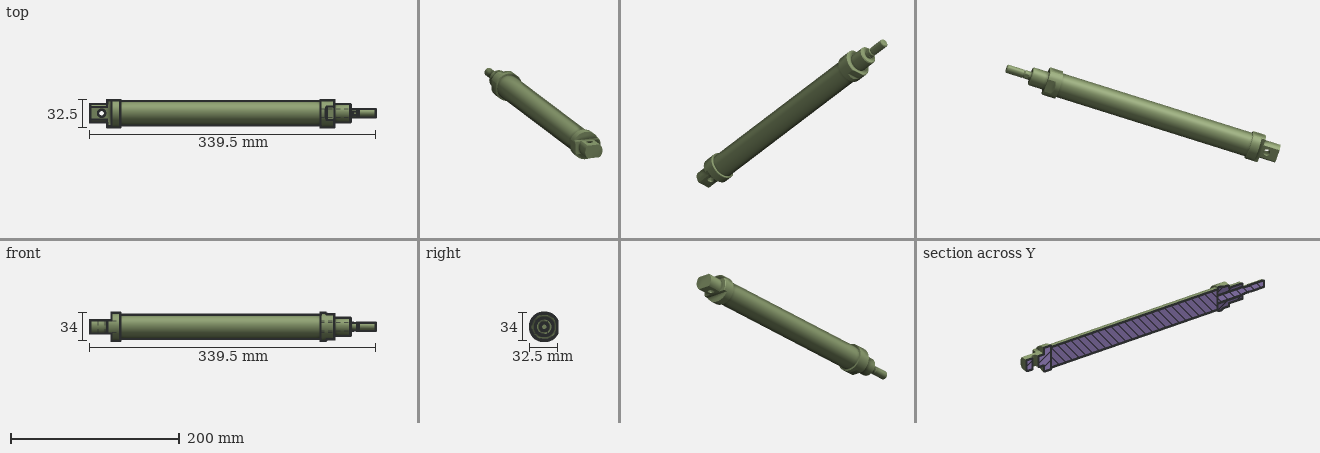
import cadquery as cq

FLANGE_FACE = 20.0
REAR_DISC_FACE = 25.0
TUBE_START = 36.0
TUBE_END = 273.5
FRONT_FLAT_START = 279.0
NOSE_START = 290.0
NOSE_END = 309.3
WRENCH_FLAT_START = 312.0
GROOVE_START = 316.5
ROD_END = 339.5

CAP_RADIUS = 17.0
CAP_SIDE_FLAT = 15.5
CAP_EDGE_CHAMFER = 0.7
NECK_DIAMETER = 22.0
NOSE_CHAMFER = 1.0
FRONT_FLAT_HEIGHT = 15.0
TONGUE_THICKNESS = 16.0
PIN_HOLE_DIAMETER = 8.0
PIN_HOLE_X = 13.5

TUBE_DIAMETER = 29.2

ROD_RADIUS = 5.0
WRENCH_FLAT_WIDTH = 9.0
GROOVE_WIDTH = 2.5
GROOVE_DEPTH = 1.0
ROD_TIP_CHAMFER = 1.0


def cylinder_along_x(start, end, radius):
    """Solid cylinder on the X axis between two stations."""
    return cq.Workplane("YZ", origin=(start, 0, 0)).circle(radius).extrude(end - start)


def slab(start, end, y_low, y_high, z_low, z_high):
    """Rectangular block given by its limits along X, Y and Z."""
    size = (end - start, y_high - y_low, z_high - z_low)
    return cq.Workplane("XY").box(*size, centered=False).translate((start, y_low, z_low))


def collar(start, end, chamfered_ends):
    """Disc of an end cap, with the flat on its +Y side and the selected end faces chamfered."""
    disc = cylinder_along_x(start, end, CAP_RADIUS).faces(chamfered_ends).chamfer(CAP_EDGE_CHAMFER)
    return disc.intersect(slab(start, end, -CAP_RADIUS, CAP_SIDE_FLAT, -CAP_RADIUS, CAP_RADIUS))


def make_rear_cap():
    """Collar with a flat tongue that carries the cross pin hole."""
    tongue = cylinder_along_x(0, REAR_DISC_FACE, NECK_DIAMETER / 2)
    cap = collar(FLANGE_FACE, TUBE_START, "|X").union(tongue)
    half_thickness = TONGUE_THICKNESS / 2
    for z_low, z_high in ((half_thickness, CAP_RADIUS), (-CAP_RADIUS, -half_thickness)):
        cap = cap.cut(slab(0, REAR_DISC_FACE, -CAP_RADIUS, CAP_RADIUS, z_low, z_high))
    pin_hole = (
        cq.Workplane("XY", origin=(PIN_HOLE_X, 0, -half_thickness))
        .circle(PIN_HOLE_DIAMETER / 2)
        .extrude(TONGUE_THICKNESS)
    )
    return cap.cut(pin_hole)


def make_tube():
    """Plain barrel between the two end caps."""
    return cylinder_along_x(TUBE_START, TUBE_END, TUBE_DIAMETER / 2)


def make_front_cap():
    """Collar with two flats that run out in 45 degree ramps, and a nose bored for the rod."""
    nose = cylinder_along_x(NOSE_START, NOSE_END, NECK_DIAMETER / 2).faces(">X").chamfer(NOSE_CHAMFER)
    cap = collar(TUBE_END, NOSE_START, ">X").union(nose)
    drop = CAP_RADIUS - FRONT_FLAT_HEIGHT
    flat_cut = (
        cq.Workplane("XZ")
        .moveTo(FRONT_FLAT_START, CAP_RADIUS)
        .lineTo(FRONT_FLAT_START + drop, FRONT_FLAT_HEIGHT)
        .lineTo(NOSE_START, FRONT_FLAT_HEIGHT)
        .lineTo(NOSE_START, CAP_RADIUS)
        .close()
        .extrude(CAP_RADIUS, both=True)
    )
    cap = cap.cut(flat_cut).cut(flat_cut.mirror("XY"))
    return cap.cut(cylinder_along_x(TUBE_END, NOSE_END, ROD_RADIUS))


def make_piston_rod():
    """Rod with two wrench flats, a V groove and a chamfered tip."""
    rod = cylinder_along_x(TUBE_END, ROD_END, ROD_RADIUS).faces(">X").chamfer(ROD_TIP_CHAMFER)
    groove = (
        cq.Workplane("XY")
        .moveTo(GROOVE_START, ROD_RADIUS)
        .lineTo(GROOVE_START + GROOVE_WIDTH / 2, ROD_RADIUS - GROOVE_DEPTH)
        .lineTo(GROOVE_START + GROOVE_WIDTH, ROD_RADIUS)
        .close()
        .revolve(360, (0, 0, 0), (1, 0, 0))
    )
    rod = rod.cut(groove)
    half_width = WRENCH_FLAT_WIDTH / 2
    for z_low, z_high in ((half_width, ROD_RADIUS), (-ROD_RADIUS, -half_width)):
        rod = rod.cut(slab(WRENCH_FLAT_START, GROOVE_START, -ROD_RADIUS, ROD_RADIUS, z_low, z_high))
    return rod


rear_cap = make_rear_cap()
tube = make_tube()
front_cap = make_front_cap()
piston_rod = make_piston_rod()

result = cq.Compound.makeCompound([rear_cap.val(), tube.val(), front_cap.val(), piston_rod.val()])